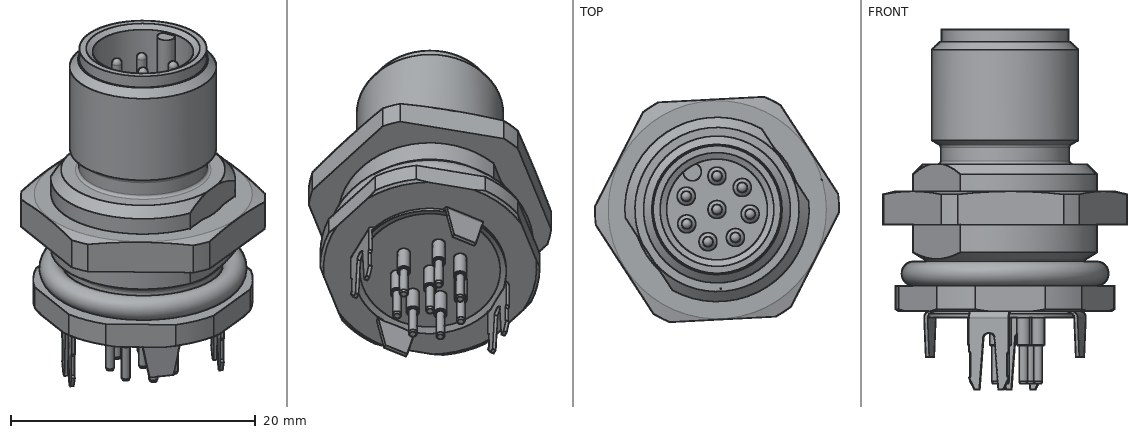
import cadquery as cq
import math


hex_turn = 3.0
flat_angle = 30.0 + hex_turn
key_angle = 123.3
tab_angle = -12.0

flange_height = 2.05
flange_radius = 8.98
flange_flat_distance = 8.5
flange_edge_height = 0.15
flange_edge_width = 0.27

ring_section_radius = 1.0
ring_inner_radius = 6.48

panel_thread_radius = 7.55
panel_thread_bottom = 4.8
panel_thread_top = 12.02
panel_thread_chamfer = 0.82
panel_flat_distance = 6.65
relief_slope_height = 0.65
relief_fillet = 0.27

neck_radius = 5.27
neck_top = 13.55
neck_fillet = 0.27
thread_radius = 6.0
thread_bottom = 13.95
thread_top = 21.38
shoulder_height = 22.03
shoulder_radius = 5.33
rim_radius = 5.2
rim_top = 23.03
rim_mouth_radius = 4.65
rim_mouth_depth = 0.3
bore_radius = 4.12

nut_bottom = 7.07
nut_height = 2.75
nut_width_over_corners = 20.0
nut_corner_radius = nut_width_over_corners / 2
nut_flat_distance = 9.0
nut_top_radius = 8.92
nut_chamfer_height = 0.27
nut_bore_radius = 6.85

socket_floor = thread_bottom
key_radius = 0.75
key_center_radius = 3.68
key_top = 22.6

outer_pin_count = 7
pin_pitch_angle = 48.9
pin_circle_radius = 2.75
pin_radius = 0.4
pin_tip = 21.25
pin_base_radius = 0.75
sleeve_radius = 0.53
sleeve_end = -2.83
sleeve_chamfer = 0.1
tail_radius = 0.35
tail_end = -5.95
tail_chamfer_radius = 0.1
tail_chamfer_height = 0.2

sheet = 0.3
bend_radius = 0.53
plate_radius = 6.25
plate_edge_drop = 0.25
plate_slope_width = 0.5
tab_distance = 6.42
tab_half_width = 1.65

leg_end = -6.42
leg_step_top = -3.3
leg_step_bottom = -3.53
leg_waist_half_width = 1.5
barb_top = -5.27
barb_corner = -5.48
leg_end_outer = 1.2
leg_end_inner = 0.8
leg_slot_half_width = 0.47
leg_slot_shoulder = -2.12
leg_slot_top = -1.8

short_tab_end = -3.77
short_tab_end_half_width = 1.0

selection_margin = 0.03


def cylinder(radius, bottom, top):
    return cq.Workplane("XY").workplane(offset=bottom).circle(radius).extrude(top - bottom)


def polar(radius, angle):
    turn = math.radians(angle)
    return radius * math.cos(turn), radius * math.sin(turn)


def revolved(points):
    """Solid of revolution about Z from (radius, height) points."""
    return cq.Workplane("XZ").polyline(points).close().revolve(360, (0, 0, 0), (0, 1, 0))


def edges_at(height, reach):
    """Selector for the edges at one height that lie within a reach of the axis."""
    low = (-reach, -reach, height - selection_margin)
    high = (reach, reach, height + selection_margin)
    return cq.selectors.BoxSelector(low, high, boundingbox=True)


def hexagon(flat_distance, bottom, top):
    corner_circle = 2 * flat_distance / math.cos(math.radians(30))
    prism = cq.Workplane("XY").workplane(offset=bottom).polygon(6, corner_circle).extrude(top - bottom)
    return prism.rotate((0, 0, 0), (0, 0, 1), hex_turn)


def flatted(body, bottom, top):
    """Keep the part of a panel-thread body that lies between its two parallel flats."""
    slab = cq.Workplane("XY").workplane(offset=bottom).rect(
        2 * panel_flat_distance, 4 * panel_thread_radius).extrude(top - bottom)
    return body.intersect(slab.rotate((0, 0, 0), (0, 0, 1), flat_angle))


def make_housing():
    flange = revolved([
        (0, 0),
        (flange_radius - flange_edge_width, 0),
        (flange_radius, flange_edge_height),
        (flange_radius, flange_height),
        (0, flange_height),
    ]).intersect(hexagon(flange_flat_distance, 0, flange_height))

    relief_bottom = panel_thread_bottom - relief_slope_height
    panel_thread = revolved([
        (0, flange_height),
        (ring_inner_radius, flange_height),
        (ring_inner_radius, relief_bottom),
        (panel_thread_radius, panel_thread_bottom),
        (panel_thread_radius, panel_thread_top - panel_thread_chamfer),
        (panel_thread_radius - panel_thread_chamfer, panel_thread_top),
        (0, panel_thread_top),
    ])
    panel_thread = panel_thread.edges(edges_at(relief_bottom, panel_thread_radius)).fillet(relief_fillet)
    panel_thread = flatted(panel_thread, flange_height, panel_thread_top)

    plug = revolved([
        (0, panel_thread_top),
        (neck_radius, panel_thread_top),
        (neck_radius, neck_top),
        (thread_radius, thread_bottom),
        (thread_radius, thread_top),
        (shoulder_radius, shoulder_height),
        (rim_radius, shoulder_height),
        (rim_radius, rim_top),
        (0, rim_top),
    ])
    housing = flange.union(panel_thread).union(plug)
    for height in (panel_thread_top, neck_top):
        housing = housing.edges(edges_at(height, shoulder_radius)).fillet(neck_fillet)

    bore = revolved([
        (0, 0),
        (bore_radius, 0),
        (bore_radius, rim_top - rim_mouth_depth),
        (rim_mouth_radius, rim_top),
        (0, rim_top),
    ])
    return housing.cut(bore)


def make_nut():
    nut_top = nut_bottom + nut_height
    blank = revolved([
        (0, nut_bottom),
        (nut_corner_radius, nut_bottom),
        (nut_corner_radius, nut_top - nut_chamfer_height),
        (nut_top_radius, nut_top),
        (0, nut_top),
    ]).intersect(hexagon(nut_flat_distance, nut_bottom, nut_top))
    bore = cylinder(nut_bore_radius, nut_bottom, nut_top)
    thread_room = flatted(cylinder(panel_thread_radius, nut_bottom, nut_top), nut_bottom, nut_top)
    return blank.cut(bore.union(thread_room))


def make_sealing_ring():
    section_center = (ring_inner_radius + ring_section_radius, flange_height + ring_section_radius)
    return (cq.Workplane("XZ").center(*section_center).circle(ring_section_radius)
            .revolve(360, (-section_center[0], 0, 0), (-section_center[0], 1, 0)))


def make_pin(x, y):
    pin_shoulder = pin_tip - pin_radius
    base_top = socket_floor + pin_base_radius - pin_radius
    tip_bulge = pin_radius * math.sqrt(0.5)
    profile = (
        cq.Workplane("XZ")
        .moveTo(0, tail_end)
        .lineTo(tail_radius - tail_chamfer_radius, tail_end)
        .lineTo(tail_radius, tail_end + tail_chamfer_height)
        .lineTo(tail_radius, sleeve_end)
        .lineTo(sleeve_radius - sleeve_chamfer, sleeve_end)
        .lineTo(sleeve_radius, sleeve_end + sleeve_chamfer)
        .lineTo(sleeve_radius, 0)
        .lineTo(pin_base_radius, 0)
        .lineTo(pin_base_radius, socket_floor)
        .lineTo(pin_radius, base_top)
        .lineTo(pin_radius, pin_shoulder)
        .threePointArc((tip_bulge, pin_shoulder + tip_bulge), (0, pin_tip))
        .close()
    )
    return profile.revolve(360, (0, 0, 0), (0, 1, 0)).translate((x, y, 0))


def tab_sheet(half_width, end):
    """Flat strip from the axis toward +X, bent down at the outer end."""
    plate_under = -sheet
    bend_start = tab_distance - bend_radius
    inner_bend = bend_radius - sheet
    diagonal = math.sqrt(0.5)
    return (
        cq.Workplane("XZ")
        .lineTo(bend_start, 0)
        .threePointArc((bend_start + bend_radius * diagonal, bend_radius * (diagonal - 1)),
                       (tab_distance, -bend_radius))
        .lineTo(tab_distance, end)
        .lineTo(tab_distance - sheet, end)
        .lineTo(tab_distance - sheet, -bend_radius)
        .threePointArc((bend_start + inner_bend * diagonal, inner_bend * diagonal - bend_radius),
                       (bend_start, plate_under))
        .lineTo(0, plate_under)
        .close()
        .extrude(half_width, both=True)
    )


def trimmed_tab(outline, half_width, end):
    """Cut a bent strip to an outline given in the plane of its hanging part."""
    return tab_sheet(half_width, end).intersect(outline.extrude(tab_distance + sheet))


def long_tab():
    outline = (
        cq.Workplane("YZ")
        .moveTo(-tab_half_width, 0)
        .lineTo(-tab_half_width, leg_step_top)
        .lineTo(-leg_waist_half_width, leg_step_bottom)
        .lineTo(-leg_waist_half_width, barb_top)
        .lineTo(-tab_half_width, barb_corner)
        .lineTo(-leg_end_outer, leg_end)
        .lineTo(-leg_end_inner, leg_end)
        .lineTo(-leg_slot_half_width, leg_slot_shoulder)
        .threePointArc((0, leg_slot_top), (leg_slot_half_width, leg_slot_shoulder))
        .lineTo(leg_end_inner, leg_end)
        .lineTo(leg_end_outer, leg_end)
        .lineTo(tab_half_width, barb_corner)
        .lineTo(leg_waist_half_width, barb_top)
        .lineTo(leg_waist_half_width, leg_step_bottom)
        .lineTo(tab_half_width, leg_step_top)
        .lineTo(tab_half_width, 0)
        .close()
    )
    return trimmed_tab(outline, tab_half_width, leg_end)


def short_tab():
    outline = cq.Workplane("YZ").polyline([
        (-tab_half_width, 0),
        (-tab_half_width, -bend_radius),
        (-short_tab_end_half_width, short_tab_end),
        (short_tab_end_half_width, short_tab_end),
        (tab_half_width, -bend_radius),
        (tab_half_width, 0),
    ]).close()
    return trimmed_tab(outline, tab_half_width, short_tab_end)


def make_shield():
    slope_start = plate_radius - plate_slope_width
    shield = revolved([
        (0, 0),
        (slope_start, 0),
        (plate_radius, -plate_edge_drop),
        (plate_radius, -plate_edge_drop - sheet),
        (slope_start, -sheet),
        (0, -sheet),
    ])
    for index, tab in enumerate((short_tab(), long_tab(), short_tab(), long_tab())):
        shield = shield.union(tab.rotate((0, 0, 0), (0, 0, 1), tab_angle + 90 * index))
    return shield


def make_contact_insert():
    insert = cylinder(bore_radius, 0, socket_floor)
    key = cylinder(key_radius, socket_floor, key_top).translate((*polar(key_center_radius, key_angle), 0))
    insert = insert.union(key.intersect(cylinder(bore_radius, socket_floor, key_top)))
    insert = insert.union(make_shield())

    first_pin_angle = key_angle + (360 - (outer_pin_count - 1) * pin_pitch_angle) / 2
    insert = insert.union(make_pin(0, 0))
    for index in range(outer_pin_count):
        x, y = polar(pin_circle_radius, first_pin_angle + index * pin_pitch_angle)
        insert = insert.union(make_pin(x, y))
    return insert


housing = make_housing()
nut = make_nut()
sealing_ring = make_sealing_ring()
contact_insert = make_contact_insert()

result = cq.Compound.makeCompound([
    housing.val(),
    nut.val(),
    sealing_ring.val(),
    contact_insert.val(),
])